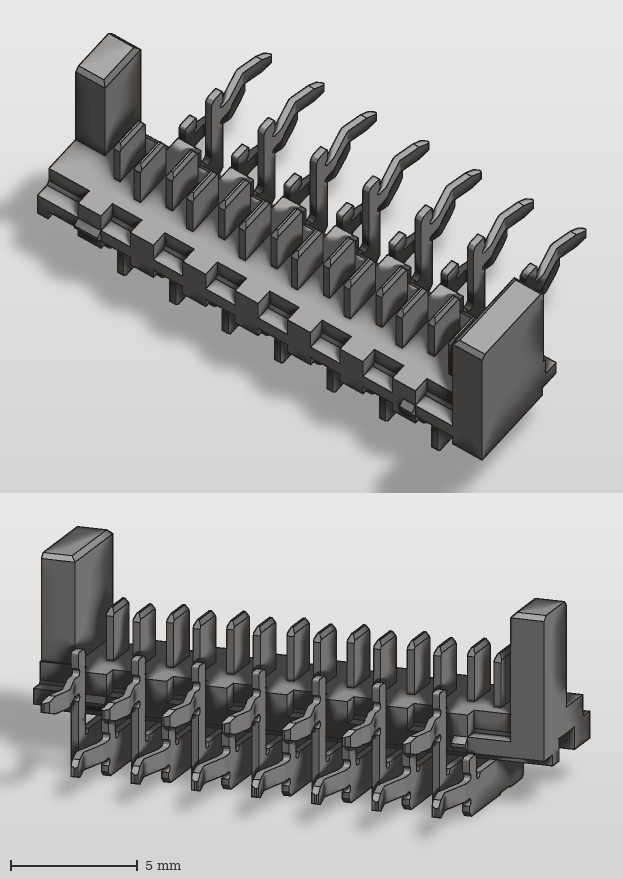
import cadquery as cq


LENGTH = 21.55
DEPTH = 5.0
HEIGHT = 2.0
END = LENGTH / 2
STEP_DEPTH = 0.93
STEP_HEIGHT = 0.45

CONTACT_COUNT = 14
CONTACT_SPAN = 16.51
PITCH = CONTACT_SPAN / (CONTACT_COUNT - 1)
FIRST_X = -CONTACT_SPAN / 2
THICKNESS = 0.3

TOOTH_WIDTH = 1.12
TOOTH_COUNT = CONTACT_COUNT // 2
NOTCH_FLOOR = 1.1
NOTCH_SLOPE_TOP = 1.25
FRONT_NOTCH_DEPTH = 0.78
FRONT_SLOPE_RUN = 0.13
REAR_NOTCH_DEPTH = 0.71
REAR_SLOPE_RUN = 0.06
LOWER_NOTCH_INSET = 0.52

POST_LENGTH = 1.42
POST_TOP = 6.4
POST_CHAMFER = 0.2
LEFT_POST_DEPTH = 2.41
RIGHT_POST_DEPTH = 4.16

LUG_REACH = 0.24
LUG_TIP_LOW = 0.71
LUG_TIP_HIGH = 0.85
SHORT_LUG_WIDTH = 0.6

POCKET_FRONT = 1.68
POCKET_REAR = 3.38
POCKET_TOP = 0.93
POCKET_INSET = 0.65
POCKET_CHAMFER = 0.13

BLADE_TOP = 4.16
BLADE_WIDTH = 1.72
BLADE_SIDE_TAPER = 0.1
BLADE_SIDE_TAPER_HEIGHT = 0.22
BLADE_END_TAPER = 0.2
BLADE_END_TAPER_HEIGHT = 0.32
BLADE_FRONT_LOW = 1.85
BLADE_FRONT_HIGH = 1.47

PLATE_BOTTOM = -1.55
PLATE_REAR = 7.03
PLATE_CHAMFER = 0.15
PLATE_REAR_CHAMFER = 0.22
UPRIGHT_FRONT = 6.27
PLATE_FRONT_LOW = 1.12
PLATE_FRONT_HIGH = 0.32
UPRIGHT_TOP_LOW = 0.86
UPRIGHT_TOP_HIGH = 3.43
UPRIGHT_ROUND_LOW = 0.1
UPRIGHT_ROUND_HIGH = 0.25
UPRIGHT_REAR_ROUND = 0.1
RELIEF_RADIUS = 0.15
CORNER_RELIEF_RADIUS = 0.2
RECESS_FRONT = 2.59
RECESS_REAR = 3.65
RECESS_DEPTH = 0.06

TAIL_HEIGHT = 0.73
TAIL_MID_LOW = -0.4
TAIL_MID_HIGH = 2.1
TAIL_BEND_Y = 7.45
TAIL_PEAK_Y = 8.86
TAIL_END_Y = 10.41
TAIL_OFFSET = 0.35
TAIL_INNER_RADIUS = 0.28
TAIL_OUTER_RADIUS = TAIL_INNER_RADIUS + THICKNESS
TAIL_TAPER_LENGTH = 0.55
TAIL_TIP_HEIGHT = 0.37
TAIL_PEAK_SIDE_CHAMFER = 0.15
TAIL_FAR_SIDE_CHAMFER = 0.06


def block(x_range, y_range, z_range):
    """Box between the given limits on each axis."""
    limits = (x_range, y_range, z_range)
    sizes = [high - low for low, high in limits]
    corner = tuple(low for low, high in limits)
    return cq.Workplane("XY").box(*sizes, centered=False).translate(corner)


def side_prism(points, x_start, x_end):
    """Solid with a (Y, Z) outline running from x_start to x_end."""
    outline = cq.Workplane("YZ").workplane(offset=x_start).polyline(points).close()
    return outline.extrude(x_end - x_start)


def turned(shape):
    """Shape turned half a turn about the vertical axis of the housing."""
    centre_y = DEPTH / 2
    return shape.rotate((0, centre_y, 0), (0, centre_y, 1), 180)


def tooth_gaps():
    """X limits of the gaps beside the teeth of the front edge."""
    edges = [-END]
    for i in range(TOOTH_COUNT):
        centre = FIRST_X + 2 * i * PITCH
        edges += [centre - TOOTH_WIDTH / 2, centre + TOOTH_WIDTH / 2]
    edges.append(END - POST_LENGTH)
    return list(zip(edges[::2], edges[1::2]))


def upper_notch(gap, depth, slope_run):
    """Cutter for one notch in the top edge, with a slope where floor meets wall."""
    profile = [
        (0, NOTCH_FLOOR),
        (depth - slope_run, NOTCH_FLOOR),
        (depth, NOTCH_SLOPE_TOP),
        (depth, HEIGHT),
        (0, HEIGHT),
    ]
    return side_prism(profile, *gap)


def castellate(body):
    """Cut the notches of the upper edges and of the lower front edge."""
    for gap in tooth_gaps():
        body = body.cut(upper_notch(gap, FRONT_NOTCH_DEPTH, FRONT_SLOPE_RUN))
        body = body.cut(turned(upper_notch(gap, REAR_NOTCH_DEPTH, REAR_SLOPE_RUN)))
        lower_start = max(gap[0], -END + LOWER_NOTCH_INSET)
        body = body.cut(block((lower_start, gap[1]), (0, STEP_DEPTH), (0, STEP_HEIGHT)))
    return body


def keying_posts():
    """Posts at the two ends, chamfered on top except along the end faces."""
    left = block((-END, -END + POST_LENGTH), (DEPTH - LEFT_POST_DEPTH, DEPTH), (STEP_HEIGHT, POST_TOP))
    left = left.faces(">Z").edges(">X or >Y or <Y").chamfer(POST_CHAMFER)
    right = block((END - POST_LENGTH, END), (0, RIGHT_POST_DEPTH), (STEP_HEIGHT, POST_TOP))
    right = right.faces(">Z").edges("<X or >Y or <Y").chamfer(POST_CHAMFER)
    return left.union(right)


def lugs():
    """A wide and a narrow lug on the front, repeated half a turn round on the rear."""
    profile = [
        (0, STEP_HEIGHT),
        (-LUG_REACH, LUG_TIP_LOW),
        (-LUG_REACH, LUG_TIP_HIGH),
        (0, NOTCH_FLOOR),
    ]
    wide_start = FIRST_X - TOOTH_WIDTH / 2
    last_tooth_end = FIRST_X + 2 * (TOOTH_COUNT - 1) * PITCH + TOOTH_WIDTH / 2
    wide = side_prism(profile, wide_start, wide_start + TOOTH_WIDTH)
    narrow = side_prism(profile, last_tooth_end - SHORT_LUG_WIDTH, last_tooth_end)
    front = wide.union(narrow)
    return front.union(turned(front))


def end_pocket():
    """Cutter for the pocket in the -X end, open below, its inner wall chamfered."""
    inner = -END + POCKET_INSET
    profile = [
        (-END, 0),
        (inner + POCKET_CHAMFER, 0),
        (inner, POCKET_CHAMFER),
        (inner, POCKET_TOP),
        (-END, POCKET_TOP),
    ]
    outline = cq.Workplane("XZ").workplane(offset=-POCKET_REAR).polyline(profile).close()
    return outline.extrude(POCKET_REAR - POCKET_FRONT)


def housing():
    body = block((-END, END), (0, DEPTH), (0, HEIGHT))
    body = body.cut(block((-END, END), (DEPTH - STEP_DEPTH, DEPTH), (0, STEP_HEIGHT)))
    body = castellate(body).union(keying_posts()).union(lugs())
    return body.cut(end_pocket())


def blade(front):
    """Upright blade from the housing underside, tapered on all four sides at the top."""
    half = THICKNESS / 2
    rear = front + BLADE_WIDTH
    side_profile = [
        (front, 0),
        (rear, 0),
        (rear, BLADE_TOP - BLADE_END_TAPER_HEIGHT),
        (rear - BLADE_END_TAPER, BLADE_TOP),
        (front + BLADE_END_TAPER, BLADE_TOP),
        (front, BLADE_TOP - BLADE_END_TAPER_HEIGHT),
    ]
    edge_profile = [
        (-half, 0),
        (half, 0),
        (half, BLADE_TOP - BLADE_SIDE_TAPER_HEIGHT),
        (half - BLADE_SIDE_TAPER, BLADE_TOP),
        (-half + BLADE_SIDE_TAPER, BLADE_TOP),
        (-half, BLADE_TOP - BLADE_SIDE_TAPER_HEIGHT),
    ]
    edge_outline = cq.Workplane("XZ").workplane(offset=-rear).polyline(edge_profile).close()
    return side_prism(side_profile, -half, half).intersect(edge_outline.extrude(BLADE_WIDTH))


def relief(y, z, radius):
    """Round cutter through the thickness of a contact."""
    outline = cq.Workplane("YZ").workplane(offset=-THICKNESS / 2).center(y, z).circle(radius)
    return outline.extrude(THICKNESS)


def plate(front, upright_top, upright_round, tail_mid):
    """L-shaped plate under the housing, with its upright at the rear."""
    half = THICKNESS / 2
    base = block((-half, half), (front, PLATE_REAR), (PLATE_BOTTOM, 0))
    base = base.edges("|X and <Y").chamfer(PLATE_CHAMFER)
    base = base.edges("|X and >Y and <Z").chamfer(PLATE_REAR_CHAMFER)
    upright = block((-half, half), (UPRIGHT_FRONT, PLATE_REAR), (PLATE_BOTTOM / 2, upright_top))
    upright = upright.edges("|X and <Y and >Z").fillet(upright_round)
    upright = upright.edges("|X and >Y and >Z").fillet(UPRIGHT_REAR_ROUND)
    body = base.union(upright)
    body = body.cut(relief(UPRIGHT_FRONT - CORNER_RELIEF_RADIUS, 0, CORNER_RELIEF_RADIUS))
    for side in (-1, 1):
        relief_z = tail_mid + side * (TAIL_HEIGHT / 2 + RELIEF_RADIUS)
        body = body.cut(relief(PLATE_REAR, relief_z, RELIEF_RADIUS))
    return body


def tail_outline():
    """Plan of a tail kinked towards +X from a root at X = 0, with rounded bends."""
    half = THICKNESS / 2
    plan = [
        (-half, UPRIGHT_FRONT),
        (half, UPRIGHT_FRONT),
        (half, TAIL_BEND_Y),
        (half + TAIL_OFFSET, TAIL_PEAK_Y),
        (half, TAIL_END_Y),
        (-half, TAIL_END_Y),
        (-half + TAIL_OFFSET, TAIL_PEAK_Y),
        (-half, TAIL_BEND_Y),
    ]
    strip = cq.Workplane("XY").polyline(plan).close().extrude(TAIL_HEIGHT)
    bends = [
        (half, TAIL_BEND_Y, TAIL_INNER_RADIUS),
        (-half, TAIL_BEND_Y, TAIL_OUTER_RADIUS),
        (half + TAIL_OFFSET, TAIL_PEAK_Y, TAIL_OUTER_RADIUS),
        (-half + TAIL_OFFSET, TAIL_PEAK_Y, TAIL_INNER_RADIUS),
    ]
    for x, y, radius in bends:
        corner = cq.selectors.NearestToPointSelector((x, y, TAIL_HEIGHT / 2))
        strip = strip.edges("|Z").edges(corner).fillet(radius)
    strip = strip.edges("|Z and >Y").edges(">X").chamfer(TAIL_PEAK_SIDE_CHAMFER)
    return strip.edges("|Z and >Y").edges("<X").chamfer(TAIL_FAR_SIDE_CHAMFER)


def tail(mid_z, side):
    """Kinked tail bent towards side (+1 or -1 in X), tapering in height to its tip."""
    half_height = TAIL_HEIGHT / 2
    half_tip = TAIL_TIP_HEIGHT / 2
    taper_start = TAIL_END_Y - TAIL_TAPER_LENGTH
    side_profile = [
        (UPRIGHT_FRONT, -half_height),
        (taper_start, -half_height),
        (TAIL_END_Y, -half_tip),
        (TAIL_END_Y, half_tip),
        (taper_start, half_height),
        (UPRIGHT_FRONT, half_height),
    ]
    reach = THICKNESS + TAIL_OFFSET
    strip = tail_outline().translate((0, 0, -half_height))
    strip = strip.intersect(side_prism(side_profile, -reach, reach))
    if side < 0:
        strip = strip.mirror("YZ")
    return strip.translate((0, 0, mid_z))


def low_contact():
    """Contact with a low tail kinked towards +X and a shallow recess underneath."""
    body = plate(PLATE_FRONT_LOW, UPRIGHT_TOP_LOW, UPRIGHT_ROUND_LOW, TAIL_MID_LOW)
    recess_top = PLATE_BOTTOM + RECESS_DEPTH
    recess = block((-THICKNESS, THICKNESS), (RECESS_FRONT, RECESS_REAR), (PLATE_BOTTOM, recess_top))
    return body.cut(recess).union(blade(BLADE_FRONT_LOW)).union(tail(TAIL_MID_LOW, 1))


def high_contact():
    """Contact with a high tail kinked towards -X."""
    body = plate(PLATE_FRONT_HIGH, UPRIGHT_TOP_HIGH, UPRIGHT_ROUND_HIGH, TAIL_MID_HIGH)
    return body.union(blade(BLADE_FRONT_HIGH)).union(tail(TAIL_MID_HIGH, -1))


contact_shapes = (low_contact(), high_contact())
result = housing()
for i in range(CONTACT_COUNT):
    result = result.union(contact_shapes[i % 2].translate((FIRST_X + i * PITCH, 0, 0)))